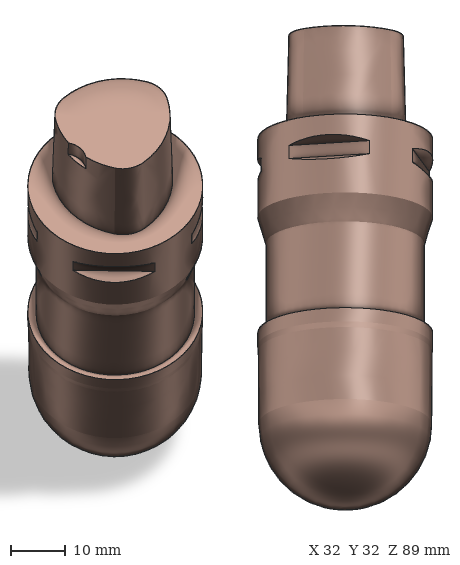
import cadquery as cq
import math

total_height = 89.0
body_diameter = 32.0
neck_diameter = 29.0
dome_radius = 15.8
taper_top_radius = 15.9

taper_top_z = 29.5
collar_bottom_z = 30.5
collar_top_z = 33.2
collar_dish_depth = 0.5
neck_bottom_z = collar_top_z - collar_dish_depth
neck_top_z = 50.1
flange_bottom_z = 55.2
flange_top_z = 70.2

shank_lobe_reach = 11.75
shank_flat_reach = 10.3
shank_lobe_radius = 6.05
shank_taper = 1 / 40
shank_height = total_height - flange_top_z
lobe_angles = (90, 210, 330)

notch_radius = 4.1
notch_inner_reach = 9.0
notch_depth = 3.3

groove_angles = (45, 135, 225, 315)
groove_center_z = 64.1
groove_floor_reach = 14.15
groove_floor_height = 2.5
groove_mouth_height = 4.6
groove_overcut = 0.9


def polar(radius, degrees):
    angle = math.radians(degrees)
    return (radius * math.cos(angle), radius * math.sin(angle))


def lobed_wire(z, inset):
    """Three lobe arcs joined tangentially by three wide side arcs."""
    lobe_reach = shank_lobe_reach - inset
    flat_reach = shank_flat_reach - inset
    lobe_radius = shank_lobe_radius - inset
    lobe_center = lobe_reach - lobe_radius
    gap = flat_reach - lobe_radius
    side_center = (lobe_center**2 - gap**2) / (2 * gap - lobe_center)
    side_radius = flat_reach + side_center

    def tangent_point(lobe_angle, side_angle):
        center_x, center_y = polar(side_center, side_angle + 180)
        lobe_x, lobe_y = polar(lobe_center, lobe_angle)
        reach = side_radius / (side_radius - lobe_radius)
        return (center_x + reach * (lobe_x - center_x), center_y + reach * (lobe_y - center_y))

    first_lobe = lobe_angles[0]
    outline = cq.Workplane("XY", origin=(0, 0, z)).moveTo(*tangent_point(first_lobe, first_lobe - 60))
    for lobe in lobe_angles:
        side = lobe + 60
        outline = outline.threePointArc(polar(lobe_reach, lobe), tangent_point(lobe, side))
        outline = outline.threePointArc(polar(flat_reach, side), tangent_point(lobe + 120, side))
    return outline.close().val()


def make_shank():
    base = lobed_wire(flange_top_z, 0)
    top = lobed_wire(total_height, shank_height * shank_taper)
    shank = cq.Workplane(cq.Solid.makeLoft([base, top], True))
    notch = (
        cq.Workplane("XY", origin=(0, 0, total_height - notch_depth))
        .center(0, -(notch_inner_reach + notch_radius))
        .circle(notch_radius)
        .extrude(notch_depth)
    )
    return shank.cut(notch)


def make_groove_cutter(angle):
    """Trapezoidal bar, narrow at the flat floor and widening outward to the flange surface."""
    flange_radius = body_diameter / 2
    flare = (groove_mouth_height - groove_floor_height) / 2 / (flange_radius - groove_floor_reach)
    outer_reach = flange_radius + groove_overcut
    floor_half = groove_floor_height / 2
    outer_half = floor_half + flare * (outer_reach - groove_floor_reach)
    return (
        cq.Workplane("XZ", origin=(0, 0, groove_center_z))
        .polyline([
            (groove_floor_reach, -floor_half),
            (outer_reach, -outer_half),
            (outer_reach, outer_half),
            (groove_floor_reach, floor_half),
        ])
        .close()
        .extrude(body_diameter / 2, both=True)
        .rotate((0, 0, 0), (0, 0, 1), angle)
    )


def make_holder():
    """Holder: neck, conical shoulder and grooved flange, with the shank on top."""
    outer = body_diameter / 2
    neck = neck_diameter / 2
    holder = (
        cq.Workplane("XZ")
        .moveTo(0, neck_bottom_z)
        .lineTo(neck, neck_bottom_z)
        .lineTo(neck, neck_top_z)
        .lineTo(outer, flange_bottom_z)
        .lineTo(outer, flange_top_z)
        .lineTo(0, flange_top_z)
        .close()
        .revolve(360, (0, 0), (0, 1))
    )
    for angle in groove_angles:
        holder = holder.cut(make_groove_cutter(angle))
    return holder.union(make_shank())


def make_cutting_tip():
    """Round-nosed tip: dished collar that seats the neck, slight taper and a tangent spherical dome."""
    outer = body_diameter / 2
    rise = taper_top_z - dome_radius
    tangent_span = math.acos(dome_radius / math.hypot(taper_top_radius, rise))
    taper_angle = math.degrees(math.atan2(rise, taper_top_radius) - tangent_span)

    def dome_point(elevation):
        radius, height = polar(dome_radius, elevation)
        return (radius, dome_radius + height)

    return (
        cq.Workplane("XZ")
        .moveTo(0, 0)
        .threePointArc(dome_point(-45), dome_point(taper_angle))
        .lineTo(taper_top_radius, taper_top_z)
        .lineTo(outer, collar_bottom_z)
        .lineTo(outer, collar_top_z)
        .lineTo(neck_diameter / 2, neck_bottom_z)
        .lineTo(0, neck_bottom_z)
        .close()
        .revolve(360, (0, 0), (0, 1))
    )


holder = make_holder()
cutting_tip = make_cutting_tip()
result = cq.Compound.makeCompound([holder.val(), cutting_tip.val()])